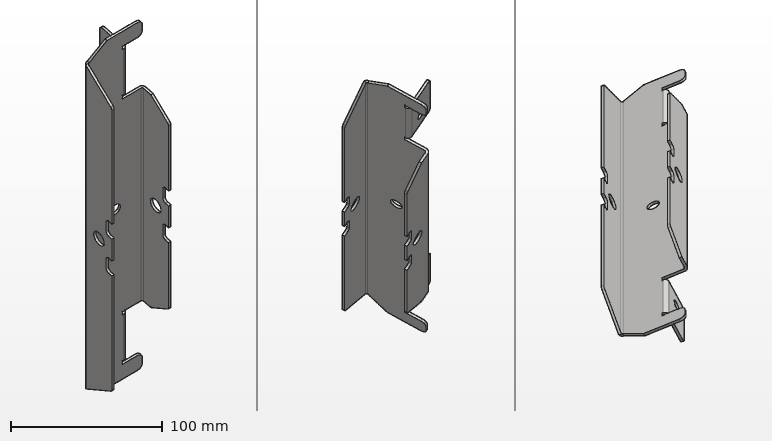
import cadquery as cq

length = 330.0
width = 50.0
flange_reach = 29.5
tab_reach = 24.5
sheet = 2.0
inner_radius = 1.0
outer_radius = inner_radius + sheet
half_length = length / 2

web_slope_start = 18.0
front_bend_half = 153.8
front_edge_half = 134.0
flange_corner = 3.0

hook_tip = 48.2
hook_bottom = 150.8
hook_radius = 4.3
notch_floor = 31.5
back_half = 101.0
back_slope_start = 11.0
flange_slope = (front_bend_half - front_edge_half) / (flange_reach - sheet)
back_edge_half = back_half - flange_slope * (flange_reach - back_slope_start)

relief_depth = 1.0
tab_bend_start = notch_floor + relief_depth
tab_bottom = 104.0
tab_top = 148.0
tab_corner = 3.0
tab_hole_diameter = 7.0
tab_hole_x = -12.2
tab_hole_rise = 13.2

web_hole_diameter = 9.0
flange_hole_diameter = 11.0
flange_hole_x = 16.0
slot_depth = 6.0
slot_height = 14.2
slot_centre = 17.5
slot_radius = 2.5


def cylinder_along_y(x, z, diameter):
    """Cutter running through the whole width of the channel."""
    return cq.Workplane("XZ", origin=(x, 0, z)).circle(diameter / 2).extrude(-width)


def mirrored_outline(plane, upper):
    """Closed outline made of the given upper points and their mirror image below Z = 0."""
    lower = [(across, -z) for across, z in reversed(upper)]
    return cq.Workplane(plane).polyline(upper + lower).close()


def channel():
    """U section with rounded bends, its back flange shorter than its front one."""
    body = cq.Workplane("XY").box(flange_reach, width, length, centered=(False, False, True))
    body = body.edges("|Z and <X").fillet(outer_radius)
    inside = (
        cq.Workplane("XY", origin=(sheet, sheet, 0))
        .box(flange_reach, width - 2 * sheet, length, centered=(False, False, True))
        .edges("|Z and <X")
        .fillet(inner_radius)
    )
    outline = mirrored_outline(
        "YZ",
        [
            (0, front_bend_half),
            (outer_radius, front_bend_half),
            (web_slope_start, half_length),
            (notch_floor, half_length),
            (notch_floor, back_half),
            (width, back_half),
        ],
    )
    return body.cut(inside).intersect(outline.extrude(flange_reach))


def hook():
    """Flat upper hook, reaching back from the web past the tab."""
    plate = (
        cq.Workplane("YZ")
        .moveTo(web_slope_start, hook_bottom)
        .lineTo(hook_tip, hook_bottom)
        .lineTo(hook_tip, half_length)
        .lineTo(web_slope_start, half_length)
        .close()
        .extrude(sheet)
    )
    return plate.edges("|X and >Y").fillet(hook_radius)


def flange_envelope(flange_end, y_start):
    """Half-width block whose ends follow one flange, with its free corners rounded."""
    upper = [(0, half_length), (sheet, half_length)] + flange_end
    block = mirrored_outline("XZ", upper).extrude(-width / 2)
    return block.edges("|Y and >X").fillet(flange_corner).translate((0, y_start, 0))


def front_envelope():
    """Space kept for the front flange, sloped from the bend to the free edge."""
    flange_end = [(sheet, front_bend_half), (flange_reach, front_edge_half)]
    return flange_envelope(flange_end, 0)


def back_envelope():
    """Space kept for the back flange, square at the bend and sloped toward the free edge."""
    flange_end = [(sheet, back_half), (back_slope_start, back_half), (flange_reach, back_edge_half)]
    return flange_envelope(flange_end, width / 2)


def tab():
    """Upper tab, bent outward from the floor of the notch."""
    height = tab_top - tab_bottom
    inner_face = tab_bend_start + inner_radius
    outer_face = inner_face + sheet
    section = (
        cq.Workplane("XY", origin=(0, 0, tab_bottom))
        .moveTo(sheet, notch_floor)
        .lineTo(0, notch_floor)
        .lineTo(0, tab_bend_start)
        .radiusArc((-inner_radius, inner_face), inner_radius)
        .lineTo(-tab_reach, inner_face)
        .lineTo(-tab_reach, outer_face)
        .lineTo(-inner_radius, outer_face)
        .radiusArc((sheet, tab_bend_start), outer_radius)
        .close()
        .extrude(height)
    )
    section = section.edges("|Y and <X").fillet(tab_corner)
    return section.cut(cylinder_along_y(tab_hole_x, tab_bottom + tab_hole_rise, tab_hole_diameter))


def edge_slot(z):
    """Round-cornered notch cut into the free edges of both flanges."""
    return (
        cq.Workplane("XY", origin=(flange_reach - slot_depth, 0, z))
        .box(2 * slot_depth, width, slot_height, centered=(False, False, True))
        .edges("|Y and <X")
        .fillet(slot_radius)
    )


result = channel().intersect(front_envelope().union(back_envelope()))

upper_fittings = hook().union(tab())
result = result.union(upper_fittings).union(upper_fittings.mirror("XY"))

result = result.cut(cq.Workplane("YZ", origin=(0, width / 2, 0)).circle(web_hole_diameter / 2).extrude(sheet))
result = result.cut(cylinder_along_y(flange_hole_x, 0, flange_hole_diameter))
for z in (-slot_centre, slot_centre):
    result = result.cut(edge_slot(z))